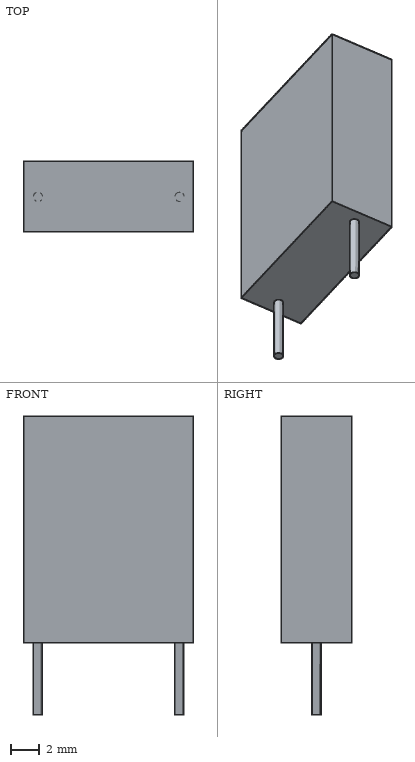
import cadquery as cq

housing_width = 12.0
housing_depth = 5.0
housing_height = 16.0
pin_diameter = 0.65
pin_length = 5.1
pin_pitch = 10.0


def make_housing():
    """Plain rectangular box standing on the plane Z = 0."""
    return cq.Workplane("XY").box(
        housing_width, housing_depth, housing_height, centered=(True, True, False)
    )


def make_pin(x):
    """Round lead that hangs from the underside of the housing."""
    return cq.Workplane("XY").center(x, 0).circle(pin_diameter / 2).extrude(-pin_length)


housing = make_housing()
pins = [make_pin(side * pin_pitch / 2) for side in (-1, 1)]

result = cq.Compound.makeCompound([housing.val(), *[pin.val() for pin in pins]])